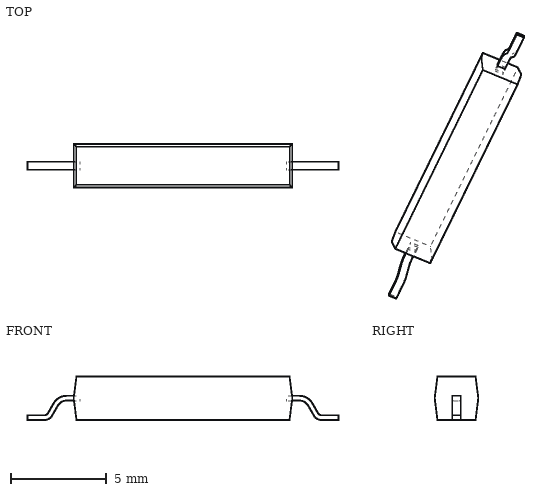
import cadquery as cq
import math

total_length = 16.25
body_height = 2.29

body_length = 11.42
body_width = 2.29
face_inset = 0.15
parting_z = body_height / 2

lead_width = 0.42
lead_thickness = 0.26
bend_angle = math.radians(60)
shoulder_bend_x = 6.08
shoulder_radius = 0.65
heel_radius = 0.34
insertion_depth = 0.32


def make_half_housing(face_z):
    """Tapered half between the parting plane and a flat face at face_z."""
    return (
        cq.Workplane("XY", origin=(0, 0, parting_z))
        .rect(body_length, body_width)
        .workplane(offset=face_z - parting_z)
        .rect(body_length - 2 * face_inset, body_width - 2 * face_inset)
        .loft(ruled=True)
    )


def make_lead():
    """Bent lead at the +X end, from its seat in the housing to its foot."""
    half_thickness = lead_thickness / 2
    root_x = body_length / 2 - insertion_depth
    foot_x = total_length / 2

    turn_drop = 1 - math.cos(bend_angle)
    turn_run = math.sin(bend_angle)
    slope_drop = parting_z - half_thickness - (shoulder_radius + heel_radius) * turn_drop
    slope_run = slope_drop / math.tan(bend_angle)
    heel_bend_x = shoulder_bend_x + (shoulder_radius + heel_radius) * turn_run + slope_run

    shoulder_center_z = parting_z - shoulder_radius
    heel_center_z = half_thickness + heel_radius

    def on_shoulder(radius, angle):
        return (
            shoulder_bend_x + radius * math.sin(angle),
            shoulder_center_z + radius * math.cos(angle),
        )

    def on_heel(radius, angle):
        return (
            heel_bend_x - radius * math.sin(angle),
            heel_center_z - radius * math.cos(angle),
        )

    shoulder_outer = shoulder_radius + half_thickness
    shoulder_inner = shoulder_radius - half_thickness
    heel_outer = heel_radius + half_thickness
    heel_inner = heel_radius - half_thickness
    mid_angle = bend_angle / 2

    return (
        cq.Workplane("XZ")
        .moveTo(root_x, parting_z + half_thickness)
        .lineTo(*on_shoulder(shoulder_outer, 0))
        .threePointArc(on_shoulder(shoulder_outer, mid_angle), on_shoulder(shoulder_outer, bend_angle))
        .lineTo(*on_heel(heel_inner, bend_angle))
        .threePointArc(on_heel(heel_inner, mid_angle), on_heel(heel_inner, 0))
        .lineTo(foot_x, lead_thickness)
        .lineTo(foot_x, 0)
        .lineTo(*on_heel(heel_outer, 0))
        .threePointArc(on_heel(heel_outer, mid_angle), on_heel(heel_outer, bend_angle))
        .lineTo(*on_shoulder(shoulder_inner, bend_angle))
        .threePointArc(on_shoulder(shoulder_inner, mid_angle), on_shoulder(shoulder_inner, 0))
        .lineTo(root_x, parting_z - half_thickness)
        .close()
        .extrude(lead_width / 2, both=True)
    )


leads = []
for turn in (0, 180):
    leads.append(make_lead().rotate((0, 0, 0), (0, 0, 1), turn))

housing = make_half_housing(body_height).union(make_half_housing(0))
for lead in leads:
    housing = housing.cut(lead)

result = cq.Compound.makeCompound([housing.solids().val(), *[lead.solids().val() for lead in leads]])